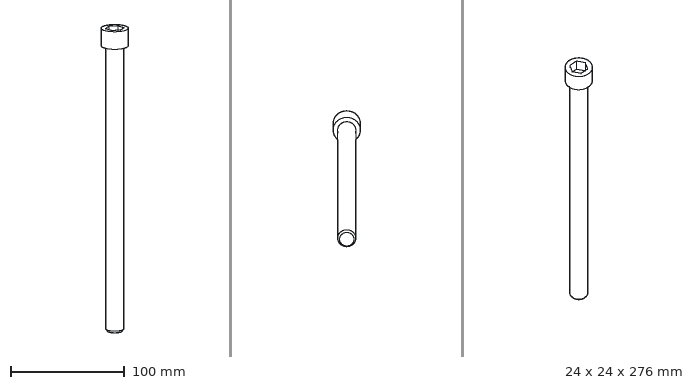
import cadquery as cq
import math

total_length = 276.0
shank_diameter = 16.0
head_diameter = 24.0
head_height = shank_diameter
tip_chamfer_height = 2.2
tip_chamfer_width = 1.7
socket_across_flats = 14.0
socket_depth = 10.0

shank_length = total_length - head_height
socket_across_corners = socket_across_flats / math.cos(math.pi / 6)

shank = cq.Workplane("XY").circle(shank_diameter / 2).extrude(shank_length)

head = (
    cq.Workplane("XY")
    .workplane(offset=shank_length)
    .circle(head_diameter / 2)
    .extrude(head_height)
)

socket = (
    cq.Workplane("XY")
    .workplane(offset=total_length - socket_depth)
    .polygon(6, socket_across_corners)
    .extrude(socket_depth)
)

chamfered_shank = shank.faces("<Z").chamfer(tip_chamfer_height, tip_chamfer_width)

result = chamfered_shank.union(head).cut(socket)